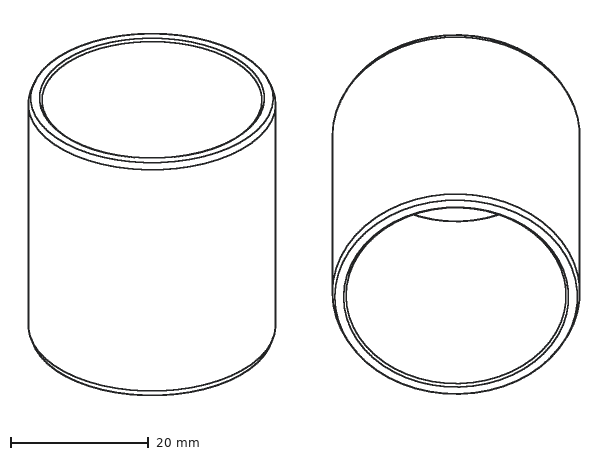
import cadquery as cq

length = 40.0
outer_radius = 18.0
inner_radius = 16.0

outer_chamfer_length = 1.0
outer_chamfer_depth = 0.35
bore_chamfer = 0.35

half_length = length / 2
outer_straight_end = half_length - outer_chamfer_length
bore_straight_end = half_length - bore_chamfer
face_outer_radius = outer_radius - outer_chamfer_depth
face_inner_radius = inner_radius + bore_chamfer

wall_section = [
    (inner_radius, -bore_straight_end),
    (inner_radius, bore_straight_end),
    (face_inner_radius, half_length),
    (face_outer_radius, half_length),
    (outer_radius, outer_straight_end),
    (outer_radius, -outer_straight_end),
    (face_outer_radius, -half_length),
    (face_inner_radius, -half_length),
]

result = (
    cq.Workplane("XZ")
    .polyline(wall_section)
    .close()
    .revolve(360, (0, 0, 0), (0, 1, 0))
    .rotate((0, 0, 0), (0, 0, 1), -90)
)